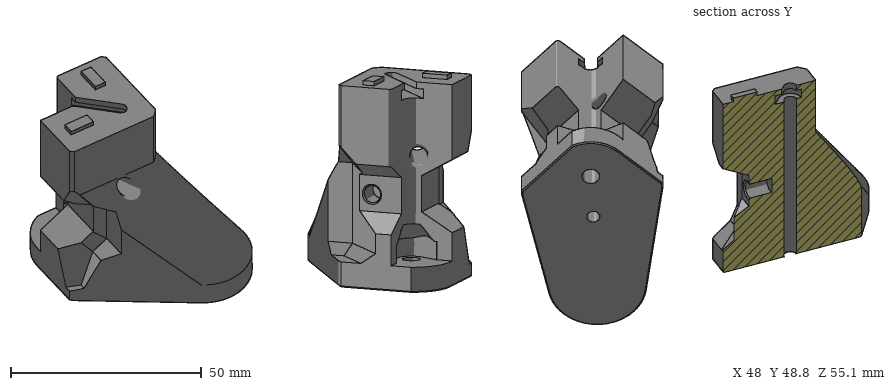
import cadquery as cq
import math

total_width, total_depth, total_height = 47.95, 48.75, 55.1
tab_height = 1.15
body_top = total_height - tab_height
base_height = 6.8

body_width = 26.7
body_depth = 27.65
corner_cut = 0.95
tail_corner_cut = 1.95
bottom_chamfer = 0.35
far = 110.2

screw_x, screw_y = 10.2, 10.9
top_hole_offset = 9.2
tail_radius = 13.0
tail_x, tail_y = total_width - tail_radius, total_depth - tail_radius
tail_top = 37.45

notch_x, notch_y = 11.8, 12.55
notch_round = 0.9
notch_corner_radius = 2.8
base_hole_diameter = 4.6
top_hole_diameter = 3.4

pocket_radius = 3.9
pocket_side_angle = math.radians(21.5)
pocket_wall_x = 3.65
roof_profile = [(notch_corner_radius, 16.0), (3.5, 14.45), (4.5, 12.75), (5.5, 11.6), (7.15, 11.6)]

slot_floor, slot_ceiling = 49.65, 52.2
slot_width = 6.2

tab_long, tab_short = 6.95, 3.1
left_tab = (6.4, 20.05)
right_tab = (19.3, 7.3)

waist_slope = math.tan(math.radians(30))
waist_low, waist_high = 19.3, 29.0
left_waist_depth, front_waist_depth = 7.4, 8.6
left_corner_depth, front_corner_depth = 10.7, 11.1
left_corner_floor, left_corner_ceiling = 9.7, 31.25
left_ceiling_slope = 0.67
front_corner_low, front_corner_high = 17.5, 30.5
front_corner_slope = 1.2
lower_edge_y, lower_edge_z = 6.7, 15.05
lower_draft = 0.36
lower_end_z, lower_end_slope = 3.6, 0.42
upper_edge_y, upper_edge_z = 5.2, 33.95
upper_draft = 0.73
upper_skew = 0.7

drill_start_y = 9.35
drill_exit = (29.05, 17.0)
left_hole_center = (20.9, 23.9)
left_hole_diameter, left_hole_depth, left_hole_chamfer = 4.6, 6.6, 0.4
drill_diameter, drill_height, drill_rounding = 4.7, 34.1, 0.8


def block(x0, x1, y0, y1, z0, z1):
    return cq.Workplane("XY").box(x1 - x0, y1 - y0, z1 - z0, centered=False).translate((x0, y0, z0))


def trim(shape, point, normal):
    """Remove everything on the side of the plane that the normal points to."""
    plane = cq.Plane(origin=point, normal=normal)
    return shape.cut(cq.Workplane(plane).rect(2 * far, 2 * far).extrude(far))


def cylinder(x, y, diameter, z0, z1):
    return cq.Workplane("XY").workplane(offset=z0).center(x, y).circle(diameter / 2).extrude(z1 - z0)


def tail_point(angle, z):
    """Point of the round tail end at the given angle in degrees."""
    a = math.radians(angle)
    return cq.Vector(tail_x + tail_radius * math.cos(a), tail_y + tail_radius * math.sin(a), z)


def flat(point):
    return (point.x, point.y)


def tangent_angle(x, y, side):
    """Angle on the tail arc where the line from (x, y) touches it."""
    dx, dy = x - tail_x, y - tail_y
    return math.degrees(math.atan2(dy, dx) + side * math.acos(tail_radius / math.hypot(dx, dy)))


notch = block(-far, notch_x, -far, notch_y, base_height, total_height)
notch = notch.edges(">X and >Y").fillet(notch_corner_radius)

column = (
    cq.Workplane("XY")
    .polyline([
        (0, 0),
        (body_width - corner_cut, 0),
        (body_width, corner_cut),
        (body_width, body_depth - tail_corner_cut),
        (body_width - tail_corner_cut, body_depth),
        (corner_cut, body_depth),
        (0, body_depth - corner_cut),
    ])
    .close()
    .extrude(body_top)
    .cut(notch)
)

left_start = (corner_cut, body_depth)
right_start = (body_width, corner_cut)
left_angle = tangent_angle(*left_start, -1) % 360
right_angle = tangent_angle(*right_start, 1)
corner_radius = screw_y
corner_end_y = screw_y - math.sqrt(corner_radius**2 - screw_x**2)
corner_mid = (screw_x - corner_radius * math.sqrt(0.5), screw_y - corner_radius * math.sqrt(0.5))

base = (
    cq.Workplane("XY")
    .moveTo(screw_x, 0)
    .lineTo(body_width - corner_cut, 0)
    .lineTo(*right_start)
    .lineTo(*flat(tail_point(right_angle, 0)))
    .threePointArc(flat(tail_point(45, 0)), flat(tail_point(left_angle, 0)))
    .lineTo(*left_start)
    .lineTo(0, body_depth - corner_cut)
    .lineTo(0, corner_end_y)
    .threePointArc(corner_mid, (screw_x, 0))
    .close()
    .extrude(base_height)
    .faces("<Z")
    .chamfer(bottom_chamfer)
)


def sloping_tail():
    """Ruled surfaces from the column edges at tail_top down to four arcs on the base."""
    tip = [
        cq.Vector(*left_start, tail_top),
        cq.Vector(body_width - tail_corner_cut, body_depth, tail_top),
        cq.Vector(body_width - tail_corner_cut / 2, body_depth - tail_corner_cut / 2, tail_top),
        cq.Vector(body_width, body_depth - tail_corner_cut, tail_top),
        cq.Vector(*right_start, tail_top),
    ]
    step = (right_angle - left_angle) / 4
    angles = [left_angle + i * step for i in range(5)]
    foot = [tail_point(a, base_height) for a in angles]
    left_foot = cq.Vector(*left_start, base_height)
    right_foot = cq.Vector(*right_start, base_height)

    arcs = [
        cq.Edge.makeThreePointArc(foot[i], tail_point(angles[i] + step / 2, base_height), foot[i + 1])
        for i in range(4)
    ]
    slopes = [cq.Face.makeRuledSurface(cq.Edge.makeLine(tip[i], tip[i + 1]), arcs[i]) for i in range(4)]

    def planar(*points):
        return cq.Face.makeFromWires(cq.Wire.makePolygon(points, close=True))

    bottom_lines = [
        cq.Edge.makeLine(foot[4], right_foot),
        cq.Edge.makeLine(right_foot, left_foot),
        cq.Edge.makeLine(left_foot, foot[0]),
    ]
    bottom = cq.Face.makeFromWires(cq.Wire.assembleEdges(arcs + bottom_lines))
    sides = [
        planar(*tip),
        planar(tip[0], left_foot, foot[0]),
        planar(tip[4], right_foot, foot[4]),
        planar(tip[0], left_foot, right_foot, tip[4]),
    ]
    shell = cq.Shell.makeShell(slopes + sides + [bottom])
    return cq.Workplane(obj=cq.Solid.makeSolid(shell).fix())


column_above_base = column.intersect(block(0, far, 0, far, base_height, far))
part = column_above_base.union(base).union(sloping_tail())


def waist_groove(plane, depth, length):
    """Trapezoid groove with 30 degree flanks, cut in from the outer face."""
    rise = depth * waist_slope
    return (
        cq.Workplane(plane)
        .polyline([
            (0, waist_low - rise),
            (depth, waist_low),
            (depth, waist_high),
            (0, waist_high + rise),
        ])
        .close()
        .extrude(length)
    )


left_waist = waist_groove("XZ", left_waist_depth, -body_depth)
front_waist = waist_groove("YZ", front_waist_depth, body_width)

left_low = (left_corner_depth, body_depth, left_corner_floor)
left_high = (left_corner_depth, body_depth, left_corner_ceiling)
left_relief = block(-far, left_corner_depth, 0, far, base_height, body_top)
left_relief = trim(left_relief, left_low, (1, -1, 0))
left_relief = trim(left_relief, left_low, (1, -1, -math.sqrt(2)))
left_relief = trim(left_relief, left_low, (1, 0, -1))
left_relief = trim(left_relief, left_high, (left_ceiling_slope, -1, 1))
left_relief = trim(left_relief, left_high, (left_ceiling_slope, 0, 1))

front_low = (body_width, front_corner_depth, front_corner_low)
front_high = (body_width, front_corner_depth, front_corner_high)
front_relief = block(0, far, -far, front_corner_depth, 0, body_top)
front_relief = trim(front_relief, front_low, (-1, 1, 0))
front_relief = trim(front_relief, front_low, (0, waist_slope, -1))
front_relief = trim(front_relief, front_low, (-front_corner_slope, waist_slope, -1))
front_relief = trim(front_relief, front_high, (0, waist_slope, 1))
front_relief = trim(front_relief, front_high, (-front_corner_slope, waist_slope, 1))

lower_edge = (body_width, lower_edge_y, lower_edge_z)
lower_runout = block(0, far, -far, front_corner_depth, 0, waist_low)
lower_runout = trim(lower_runout, lower_edge, (-1, 1, -lower_draft))
lower_runout = trim(lower_runout, lower_edge, (0, 1, -lower_draft))
lower_runout = trim(lower_runout, (body_width, 0, lower_end_z), (0, lower_end_slope, -1))

upper_edge = (body_width, upper_edge_y, upper_edge_z)
upper_runout = block(0, far, -far, front_corner_depth, waist_high, body_top)
upper_runout = trim(upper_runout, upper_edge, (-1, upper_skew, upper_skew * upper_draft))
upper_runout = trim(upper_runout, upper_edge, (0, 1, upper_draft))

for cutter in (left_waist, left_relief, front_waist, front_relief, lower_runout, upper_runout):
    part = part.cut(cutter)

round_block = block(0, notch_round, notch_y, notch_y + notch_round, waist_high, body_top)
rounding = cylinder(notch_round, notch_y + notch_round, 2 * notch_round, waist_high, body_top)
part = part.cut(round_block.cut(rounding))

drill_start = cq.Vector(notch_x, drill_start_y, drill_height)
drill_end = cq.Vector(*drill_exit, drill_height)
drill_axis = drill_end - drill_start
overrun = drill_axis.normalized() * drill_diameter
drill = cq.Solid.makeCylinder(
    drill_diameter / 2, drill_axis.Length + 2 * drill_diameter, drill_start - overrun, drill_axis
)
part = part.cut(cq.Workplane(obj=drill))
for end in (drill_start, drill_end):
    rim = part.edges(cq.selectors.NearestToPointSelector(end.toTuple()))
    part = rim.fillet(drill_rounding)


def head_pocket():
    """Pocket flared towards the open corner, under a roof turned about the axis of the notch corner."""
    touch_x = screw_x - pocket_radius * math.sin(pocket_side_angle)
    touch_y = screw_y + pocket_radius * math.cos(pocket_side_angle)
    mouth_x = pocket_wall_x
    mouth_y = touch_y - (touch_x - mouth_x) * math.tan(pocket_side_angle)
    middle = pocket_radius * math.sqrt(0.5)
    roof_top = roof_profile[0][1]
    rim_radius = roof_profile[-1][0]

    def mirrored(x, y):
        return (screw_x + y - screw_y, screw_y + x - screw_x)

    walls = (
        cq.Workplane("XY", origin=(0, 0, base_height))
        .moveTo(mouth_x, mouth_y)
        .lineTo(touch_x, touch_y)
        .threePointArc((screw_x + middle, screw_y + middle), mirrored(touch_x, touch_y))
        .lineTo(*mirrored(mouth_x, mouth_y))
        .close()
        .extrude(roof_top - base_height)
    )
    roof = (
        cq.Workplane("XZ", origin=(notch_x - notch_corner_radius, notch_y - notch_corner_radius, 0))
        .polyline([(0, roof_top)] + roof_profile)
        .lineTo(rim_radius, base_height)
        .lineTo(0, base_height)
        .close()
        .revolve(360, (0, 0, 0), (0, 1, 0))
    )
    return walls.intersect(roof)


part = part.cut(head_pocket())
part = part.cut(cylinder(screw_x, screw_y, base_hole_diameter, 0, base_height))

hole_x, hole_y = screw_x + top_hole_offset, screw_y + top_hole_offset
hole_distance = top_hole_offset * math.sqrt(2)


def diagonal_slot(start, width, z0, z1):
    """Slot along the diagonal, from start (measured from the screw axis) to a round end at the top hole."""
    length = hole_distance - start
    bar = cq.Workplane("XY").box(length, width, z1 - z0, centered=(False, True, False))
    bar = bar.translate((start, 0, z0)).rotate((0, 0, 0), (0, 0, 1), 45).translate((screw_x, screw_y, 0))
    return bar.union(cylinder(hole_x, hole_y, width, z0, z1))


part = part.cut(cylinder(hole_x, hole_y, top_hole_diameter, 0, body_top))
part = part.cut(diagonal_slot(0, top_hole_diameter, slot_floor, body_top))
part = part.cut(diagonal_slot(-slot_width / 2, slot_width, slot_floor, slot_ceiling))

left_hole_rim = cq.Workplane("YZ", origin=(left_waist_depth, *left_hole_center))
left_hole = left_hole_rim.circle(left_hole_diameter / 2).extrude(left_hole_depth)
left_hole = left_hole.union(
    left_hole_rim.circle(left_hole_diameter / 2 + left_hole_chamfer).extrude(left_hole_chamfer, taper=45)
)
part = part.cut(left_hole)

top_plane = cq.Workplane("XY", origin=(0, 0, body_top))
for center, size in ((left_tab, (tab_long, tab_short)), (right_tab, (tab_short, tab_long))):
    part = part.union(top_plane.center(*center).rect(*size).extrude(tab_height))

result = part